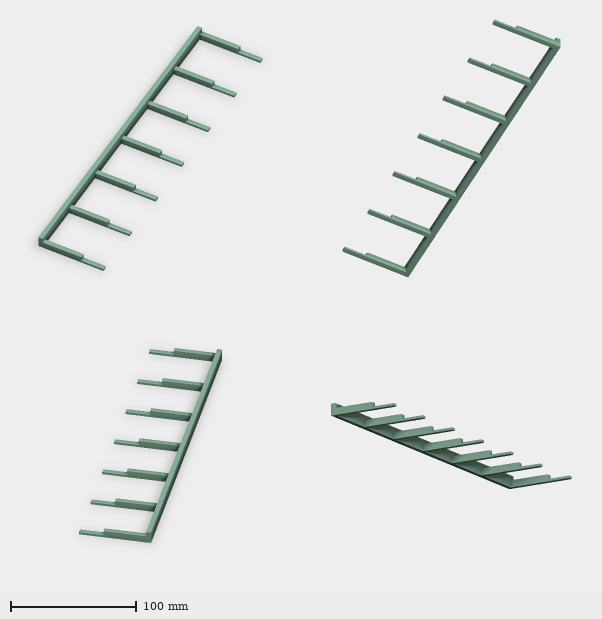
import cadquery as cq

length = 268.0
depth = 59.0
height = 10.0

bar_width = 4.0
arm_height = 6.0
tip_height = 2.0
tip_length = 20.0

frame_count = 6
pitch = (length - bar_width) / frame_count
first_arm_y = -length / 2


def make_arm(start_y):
    """Stepped arm, with its corner of the rail, starting at start_y along Y."""
    tip_start = depth - tip_length
    profile = (
        cq.Workplane("XZ", origin=(0, start_y, 0))
        .moveTo(0, 0)
        .lineTo(depth, 0)
        .lineTo(depth, tip_height)
        .lineTo(tip_start, tip_height)
        .lineTo(tip_start, arm_height)
        .lineTo(bar_width, arm_height)
        .lineTo(bar_width, height)
        .lineTo(0, height)
        .close()
    )
    return profile.extrude(-bar_width)


def make_rail(start_y):
    """Stretch of rail that spans the gap between two neighbouring arms."""
    return cq.Workplane("XY", origin=(0, start_y, 0)).box(
        bar_width, pitch - bar_width, height, centered=False
    )


def make_frame(index):
    """One bay: a rail and the arm at its +Y end; the first bay also has an arm at its -Y end."""
    near_arm_y = first_arm_y + index * pitch
    frame = make_rail(near_arm_y + bar_width).union(make_arm(near_arm_y + pitch))
    if index == 0:
        frame = frame.union(make_arm(near_arm_y))
    return frame


frames = [make_frame(index) for index in range(frame_count)]

result = cq.Compound.makeCompound([frame.solids().val() for frame in frames])